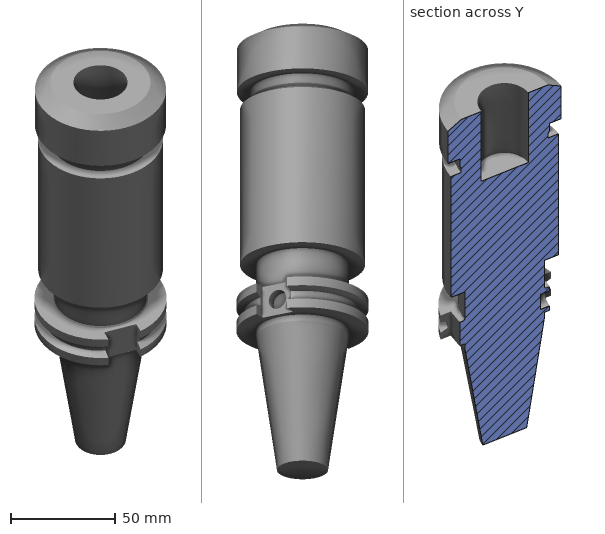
import cadquery as cq
import math


gauge_diameter = 44.45
taper_length = 68.25
taper_ratio = 7 / 24
gauge_radius = gauge_diameter / 2
taper_end_radius = gauge_radius - taper_length * taper_ratio / 2

flange_radius = 63.5 / 2
flange_bottom = 3.175
flange_width = 15.875
flange_top = flange_bottom + flange_width
flange_middle = flange_bottom + flange_width / 2
groove_radius = 28.0
groove_floor_width = 4.0
groove_mouth_width = 6.9
neck_chamfer = 0.65

slot_width = 16.6
slot_floor_distance = 25.0
pocket_diameter = 9.6
pocket_depth = 5.0

nose_height = 152.4
body_radius = 60 / 2
body_length = 80.0
nut_radius = 63 / 2
nut_length = 26.0
nut_face_radius = 24.0
nut_chamfer_angle = 30
nut_chamfer_height = (nut_radius - nut_face_radius) * math.tan(math.radians(nut_chamfer_angle))
nut_bottom = nose_height - nut_length
collar_radius = 50 / 2
collar_length = 4.7
collar_bottom = nut_bottom - collar_length
relief_radius = 24.3
collar_chamfer_height = 1.3
body_top_depth = 35.0
body_top = nose_height - body_top_depth
body_bottom = body_top - body_length

bore_diameter = 26.0
bore_depth = 46.0


def turned_body():
    profile = [
        (0, -taper_length),
        (taper_end_radius, -taper_length),
        (gauge_radius, 0),
        (gauge_radius, flange_bottom),
        (flange_radius, flange_bottom),
        (flange_radius, flange_middle - groove_mouth_width / 2),
        (groove_radius, flange_middle - groove_floor_width / 2),
        (groove_radius, flange_middle + groove_floor_width / 2),
        (flange_radius, flange_middle + groove_mouth_width / 2),
        (flange_radius, flange_top),
        (gauge_radius + neck_chamfer, flange_top),
        (gauge_radius, flange_top + neck_chamfer),
        (gauge_radius, body_bottom),
        (body_radius, body_bottom),
        (body_radius, body_top),
        (relief_radius, body_top),
        (relief_radius, collar_bottom - collar_chamfer_height),
        (collar_radius, collar_bottom),
        (collar_radius, nut_bottom),
        (nut_radius, nut_bottom),
        (nut_radius, nose_height - nut_chamfer_height),
        (nut_face_radius, nose_height),
        (0, nose_height),
    ]
    return cq.Workplane("XZ").polyline(profile).close().revolve(360, (0, 0), (0, 1))


def drive_slot(side):
    """Slot through the flange on the -X (side = -1) or +X (side = 1) edge."""
    depth = flange_radius - slot_floor_distance
    center_x = side * (slot_floor_distance + depth / 2)
    return cq.Workplane("XY").box(depth, slot_width, flange_width).translate((center_x, 0, flange_middle))


def slot_pocket():
    """Blind round pocket sunk into the floor of the -X slot."""
    return (
        cq.Workplane("YZ", origin=(-slot_floor_distance, 0, flange_middle))
        .circle(pocket_diameter / 2)
        .extrude(pocket_depth)
    )


def collet_bore():
    return (
        cq.Workplane("XY", origin=(0, 0, nose_height))
        .circle(bore_diameter / 2)
        .extrude(-bore_depth)
    )


result = turned_body()
for slot_side in (-1, 1):
    result = result.cut(drive_slot(slot_side))
result = result.cut(slot_pocket()).cut(collet_bore())